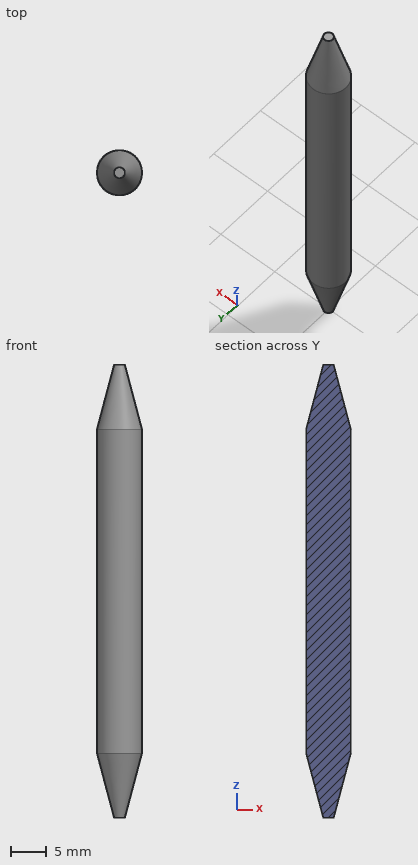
import cadquery as cq

total_length = 63.5
body_diameter = 6.35
tip_diameter = 1.5
cone_length = 9.1

half_length = total_length / 2
half_body_length = half_length - cone_length
body_radius = body_diameter / 2
tip_radius = tip_diameter / 2

profile = (
    cq.Workplane("XZ")
    .moveTo(0, -half_length)
    .lineTo(tip_radius, -half_length)
    .lineTo(body_radius, -half_body_length)
    .lineTo(body_radius, half_body_length)
    .lineTo(tip_radius, half_length)
    .lineTo(0, half_length)
    .close()
)

result = profile.revolve(360, (0, 0, 0), (0, 1, 0))